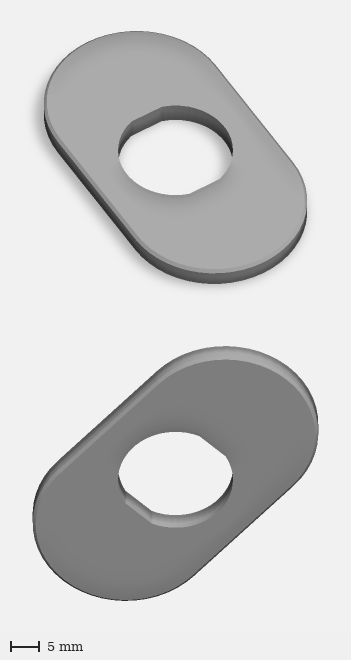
import cadquery as cq

length = 58.0
width = 32.4
thickness = 4.0
edge_chamfer = 0.5

hole_diameter = 20.0
hole_across_flats = 19.0


def rounded_plate():
    """Plate with semicircular ends, chamfered around both faces."""
    plate = cq.Workplane("XY").slot2D(length, width).extrude(thickness)
    return plate.faces("<Z or >Z").chamfer(edge_chamfer)


def flatted_hole():
    """Cutter for the through hole: a cylinder trimmed to the flats."""
    cylinder = cq.Workplane("XY").circle(hole_diameter / 2).extrude(thickness)
    flats = cq.Workplane("XY").rect(hole_across_flats, hole_diameter).extrude(thickness)
    return cylinder.intersect(flats)


result = rounded_plate().cut(flatted_hole())